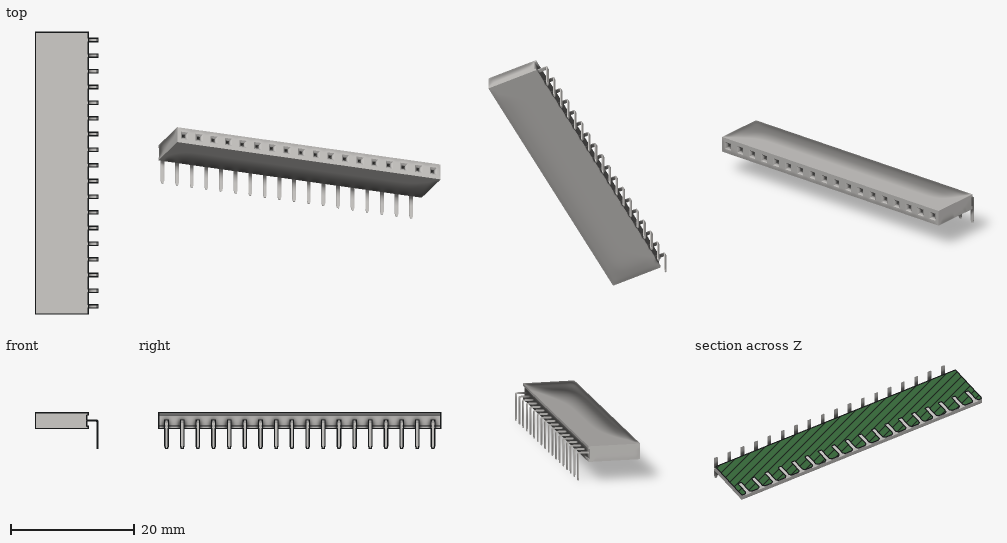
import cadquery as cq

CONTACT_COUNT = 18
HOUSING_LENGTH = 45.7
HOUSING_DEPTH = 8.3
HOUSING_HEIGHT = 2.6
PITCH = HOUSING_LENGTH / CONTACT_COUNT

LIP_DEPTH = 0.27
LIP_HEIGHT = 0.4

FUNNEL_MOUTH = 1.25
SOCKET_SIZE = 0.6
FUNNEL_DEPTH = (FUNNEL_MOUTH - SOCKET_SIZE) / 2
SOCKET_DEPTH = 2.75

OVERALL_DEPTH = 10.15
OVERALL_HEIGHT = 5.85
PIN_WIDTH = SOCKET_SIZE
PIN_THICKNESS = 0.2
BEND_RADIUS = 0.27
PIN_START = 0.9
TIP_LENGTH = 0.45
TIP_WIDTH = 0.3

PIN_BOTTOM = HOUSING_HEIGHT / 2 - OVERALL_HEIGHT
CONTACT_POSITIONS = [(i - (CONTACT_COUNT - 1) / 2) * PITCH for i in range(CONTACT_COUNT)]


def make_housing():
    full_depth = HOUSING_DEPTH + LIP_DEPTH
    bar = cq.Workplane("XY").box(full_depth, HOUSING_LENGTH, HOUSING_HEIGHT, centered=(False, True, True))
    recess_height = HOUSING_HEIGHT - 2 * LIP_HEIGHT
    recess = (
        cq.Workplane("XY")
        .box(LIP_DEPTH, HOUSING_LENGTH, recess_height, centered=(False, True, True))
        .translate((HOUSING_DEPTH, 0, 0))
    )
    return bar.cut(recess)


def make_socket(y):
    """Return the cavity of one socket, opening on the front face."""
    funnel = (
        cq.Workplane("YZ", origin=(0, y, 0))
        .rect(FUNNEL_MOUTH, FUNNEL_MOUTH)
        .workplane(offset=FUNNEL_DEPTH)
        .rect(SOCKET_SIZE, SOCKET_SIZE)
        .loft(ruled=True)
    )
    hole = cq.Workplane("YZ", origin=(FUNNEL_DEPTH, y, 0)).rect(SOCKET_SIZE, SOCKET_SIZE)
    return funnel.union(hole.extrude(SOCKET_DEPTH - FUNNEL_DEPTH))


def make_pin(y):
    """Return one bent pin with a tapered tip, running from inside its socket to below the housing."""
    top = PIN_THICKNESS / 2
    inner_face = OVERALL_DEPTH - PIN_THICKNESS
    inner_radius = BEND_RADIUS - PIN_THICKNESS
    bend_end = top - BEND_RADIUS
    strip = (
        cq.Workplane("XZ", origin=(0, y + PIN_WIDTH / 2, 0))
        .moveTo(PIN_START, top)
        .lineTo(OVERALL_DEPTH - BEND_RADIUS, top)
        .radiusArc((OVERALL_DEPTH, bend_end), BEND_RADIUS)
        .lineTo(OVERALL_DEPTH, PIN_BOTTOM)
        .lineTo(inner_face, PIN_BOTTOM)
        .lineTo(inner_face, bend_end)
        .radiusArc((inner_face - inner_radius, -top), -inner_radius)
        .lineTo(PIN_START, -top)
        .close()
        .extrude(PIN_WIDTH)
    )
    tip_corners = cq.Workplane("YZ", origin=(inner_face, y, 0))
    for side in (-1, 1):
        corner = (
            tip_corners
            .moveTo(side * PIN_WIDTH / 2, PIN_BOTTOM + TIP_LENGTH)
            .lineTo(side * PIN_WIDTH / 2, PIN_BOTTOM)
            .lineTo(side * TIP_WIDTH / 2, PIN_BOTTOM)
            .close()
            .extrude(PIN_THICKNESS)
        )
        strip = strip.cut(corner)
    return strip


result = make_housing()
for position in CONTACT_POSITIONS:
    result = result.cut(make_socket(position)).union(make_pin(position))